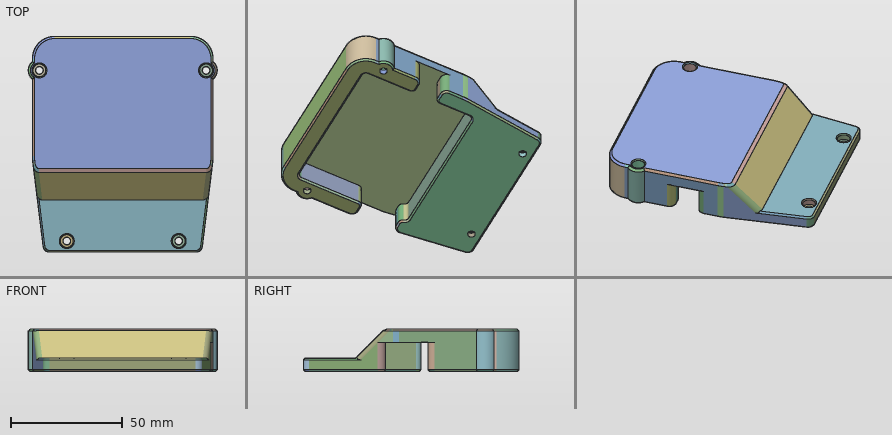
import cadquery as cq
body_length = 96.51
body_height = 19.0
half_width = 40.4
front_half_width = 35.3
back_y = body_length / 2
front_y = -back_y
taper_start_y = -6.8
back_corner_radius = 10.0
front_corner_radius = 3.0
taper_blend_radius = 22.0
top_chamfer = 1.0
edge_chamfer = 0.8

ledge_height = 6.0
ramp_foot_y = -24.9
ramp_side_radius = 2.5

boss_radius = 5.0
rear_hole_x = 37.25
rear_hole_y = 33.0
front_hole_x = 25.0
front_hole_y = front_y + 5.0
screw_diameter = 3.3
head_diameter = 5.7
head_seat_z = 3.0
head_lead_in = 0.5

cavity_height = 13.0
side_wall = 8.0
back_wall = 8.0
cavity_front_y = -14.5
cavity_corner_radius = 2.0
opening_outer_radius = 3.1
opening_inner_radius = 2.2
left_opening_y = (4.4, 15.2)
right_opening_y = (-11.4, 7.4)

rear_holes = [(side * rear_hole_x, rear_hole_y) for side in (-1, 1)]
front_holes = [(side * front_hole_x, front_hole_y) for side in (-1, 1)]


def vertical_edges_at(solid, x_range, y_range):
    """Vertical edges centred inside the given X and Y ranges."""
    box = cq.selectors.BoxSelector(
        (x_range[0], y_range[0], -1),
        (x_range[1], y_range[1], body_height + 1),
    )
    return solid.edges("|Z").edges(box)


def tapered_block(height):
    """Extruded plan outline: straight sides at the back, tapering towards the front."""
    block = (
        cq.Workplane("XY")
        .moveTo(-half_width, back_y)
        .lineTo(half_width, back_y)
        .lineTo(half_width, taper_start_y)
        .lineTo(front_half_width, front_y)
        .lineTo(-front_half_width, front_y)
        .lineTo(-half_width, taper_start_y)
        .close()
        .extrude(height)
    )
    block = block.edges("|Z and >Y").fillet(back_corner_radius)
    block = block.edges("|Z and <Y").fillet(front_corner_radius)
    taper_band = (taper_start_y - 1, taper_start_y + 1)
    every_x = (-half_width - 1, half_width + 1)
    return vertical_edges_at(block, every_x, taper_band).fillet(taper_blend_radius)


def raised_housing():
    """Full-height rear part with screw bosses, cut off at the front by the ramp."""
    ramp_bottom_y = ramp_foot_y - ledge_height
    ramp_top_y = ramp_bottom_y + body_height
    beyond_front_y = front_y - 1
    ahead_of_ramp = (
        cq.Workplane("YZ")
        .moveTo(ramp_bottom_y, 0)
        .lineTo(ramp_top_y, body_height)
        .lineTo(beyond_front_y, body_height)
        .lineTo(beyond_front_y, 0)
        .close()
        .extrude(body_length, both=True)
    )
    housing = tapered_block(body_height).cut(ahead_of_ramp)
    ramp = housing.faces(cq.selectors.DirectionNthSelector(cq.Vector(0, -1, 1), -1))
    ramp_sides = ramp.edges("not |X")
    housing = ramp_sides.fillet(ramp_side_radius).faces(">Z").chamfer(top_chamfer)

    bosses = cq.Workplane("XY").pushPoints(rear_holes).circle(boss_radius).extrude(body_height)
    return housing.union(bosses.faces(">Z").chamfer(top_chamfer))


def front_ledge():
    """Low plate under the whole outline; it shows ahead of the ramp."""
    return tapered_block(ledge_height).faces(">Z").chamfer(edge_chamfer)


def cavity():
    """Rectangular pocket in the underside."""
    cavity_back_y = back_y - back_wall
    return (
        cq.Workplane("XY")
        .center(0, (cavity_back_y + cavity_front_y) / 2)
        .rect(2 * (half_width - side_wall), cavity_back_y - cavity_front_y)
        .extrude(cavity_height)
        .edges("|Z")
        .fillet(cavity_corner_radius)
    )


def side_opening(side, y_range):
    """Straight opening through one side wall (side is -1 or 1)."""
    return (
        cq.Workplane("XY")
        .center(side * half_width, sum(y_range) / 2)
        .rect(3 * side_wall, y_range[1] - y_range[0])
        .extrude(cavity_height)
    )


def screw_holes(points, surface_z):
    """Through holes with head counterbores and a chamfered rim at the given surface height."""
    layout = cq.Workplane("XY").pushPoints(points)
    shanks = layout.circle(screw_diameter / 2).extrude(surface_z)
    heads = (
        cq.Workplane("XY", origin=(0, 0, head_seat_z))
        .pushPoints(points)
        .circle(head_diameter / 2)
        .extrude(surface_z - head_seat_z)
    )
    rims = (
        cq.Workplane("XY", origin=(0, 0, surface_z))
        .pushPoints(points)
        .circle(head_diameter / 2 + head_lead_in)
        .extrude(-head_lead_in, taper=45)
    )
    return shanks.union(heads).union(rims)


def round_opening(walls, side, y_range):
    """Round the vertical corners where a side opening meets the two faces of its wall."""
    middle_x = half_width - side_wall / 2
    outer_x = sorted((side * middle_x, side * (half_width + 1)))
    inner_x = sorted((side * (middle_x - side_wall), side * middle_x))
    y_band = (y_range[0] - 0.1, y_range[1] + 0.1)
    walls = vertical_edges_at(walls, outer_x, y_band).fillet(opening_outer_radius)
    return vertical_edges_at(walls, inner_x, y_band).fillet(opening_inner_radius)


def underside_hollow():
    """Cavity together with its flared side openings: the outline less the walls that remain."""
    outline = tapered_block(cavity_height)
    walls = outline.cut(cavity())
    for side, y_range in ((-1, left_opening_y), (1, right_opening_y)):
        walls = walls.cut(side_opening(side, y_range))
        walls = round_opening(walls, side, y_range)
    return outline.cut(walls)


body = raised_housing().union(front_ledge()).cut(underside_hollow())
body = body.faces("<Z").chamfer(edge_chamfer)
body = body.cut(screw_holes(rear_holes, body_height))
result = body.cut(screw_holes(front_holes, ledge_height))